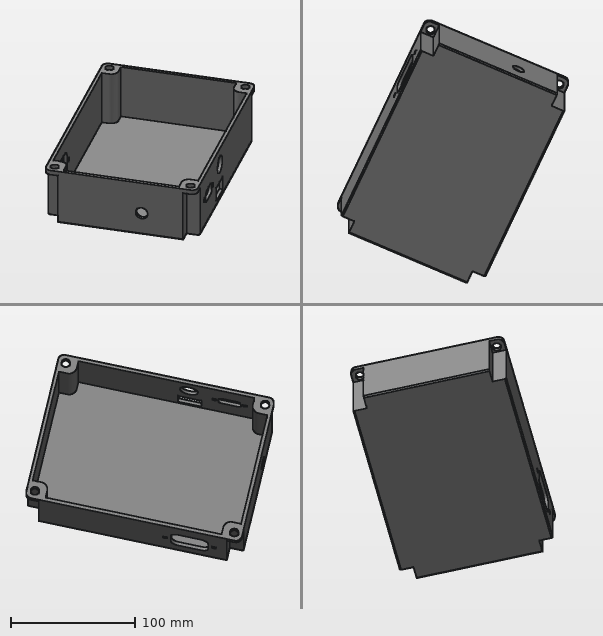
import cadquery as cq
width = 127.0
length = 177.8
height = 47.8
wall = 3.0
floor_thickness = 2.0
rim_corner_radius = 5.0
bottom_chamfer = 1.2

notch_size = 11.4
tab_thickness = 4.0
post_x = 15.3
post_y = 16.4
post_radius = 6.2
tab_hole_diameter = 7.0
tab_hole_inset = 6.8

inlet_y = -46.8
inlet_z = 23.0
inlet_width = 30.5
inlet_height = 23.0
inlet_radius = 6.0
inlet_screw_spacing = 40.2
screw_diameter = 3.5

connector_y = -52.1
connector_z = 25.8
connector_bottom_width = 20.0
connector_top_width = 16.7
connector_height = 9.8
connector_radius = 2.8
connector_screw_spacing = 25.0
round_hole_y = -18.5
round_hole_z = 33.0
round_hole_diameter = 14.8
window_y = -19.0
window_z = 10.8
window_width = 19.4
window_height = 12.1

cable_x = 17.8
cable_z = 20.0
cable_diameter = 10.0

corners = [(sx, sy) for sx in (-1, 1) for sy in (-1, 1)]
cut_depth = 2 * wall


def corner_block(sx, sy, size_x, size_y, bottom, top):
    """Block filling one corner of the box's outline between two heights."""
    center_x = sx * (width - size_x) / 2
    center_y = sy * (length - size_y) / 2
    block = cq.Workplane("XY", origin=(center_x, center_y, bottom))
    return block.rect(size_x, size_y).extrude(top - bottom)


def inner_edge(sx, sy):
    """Selector for the upright block edge nearest the middle of the box."""
    return "|Z and " + ("<X" if sx > 0 else ">X") + " and " + ("<Y" if sy > 0 else ">Y")


def make_outside():
    """Solid body with notched corners and chamfered bottom edges, capped by a rounded plate."""
    body_height = height - tab_thickness
    body = cq.Workplane("XY").box(width, length, body_height, centered=(True, True, False))
    for sx, sy in corners:
        body = body.cut(corner_block(sx, sy, notch_size, notch_size, 0, body_height))
    body = body.faces("<Z").edges("<X or >X or <Y or >Y").chamfer(bottom_chamfer)
    plate = cq.Workplane("XY", origin=(0, 0, body_height))
    plate = plate.rect(width, length).extrude(tab_thickness)
    return body.union(plate.edges("|Z").fillet(rim_corner_radius))


def make_cavity():
    """Inside space of the box, leaving a rounded post in each corner."""
    cavity = cq.Workplane("XY", origin=(0, 0, floor_thickness))
    cavity = cavity.rect(width - 2 * wall, length - 2 * wall).extrude(height)
    for sx, sy in corners:
        post = corner_block(sx, sy, post_x, post_y, 0, 2 * height)
        cavity = cavity.cut(post.edges(inner_edge(sx, sy)).fillet(post_radius))
    return cavity


def drill_tabs(body):
    for sx, sy in corners:
        hole_x = sx * (width / 2 - tab_hole_inset)
        hole_y = sy * (length / 2 - tab_hole_inset)
        hole = cq.Workplane("XY", origin=(hole_x, hole_y, 0))
        body = body.cut(hole.circle(tab_hole_diameter / 2).extrude(height))
    return body


def side_plane(side, y, z):
    """Work plane centered on the outer face of the -X or +X wall; local axes are Y and Z."""
    return cq.Workplane("YZ", origin=(side * width / 2, y, z))


def side_hole(side, y, z, diameter):
    return side_plane(side, y, z).circle(diameter / 2).extrude(-side * cut_depth)


def side_window(side, y, z, size_y, size_z):
    return side_plane(side, y, z).rect(size_y, size_z).extrude(-side * cut_depth)


def cut_screw_pair(body, side, y, z, spacing):
    for direction in (-1, 1):
        body = body.cut(side_hole(side, y + direction * spacing / 2, z, screw_diameter))
    return body


def cut_inlet(body):
    opening = side_window(-1, inlet_y, inlet_z, inlet_width, inlet_height)
    body = body.cut(opening.edges("|X").fillet(inlet_radius))
    return cut_screw_pair(body, -1, inlet_y, inlet_z, inlet_screw_spacing)


def cut_connectors(body):
    half_bottom = connector_bottom_width / 2
    half_top = connector_top_width / 2
    half_height = connector_height / 2
    outline = [
        (-half_bottom, -half_height),
        (half_bottom, -half_height),
        (half_top, half_height),
        (-half_top, half_height),
    ]
    opening = side_plane(1, connector_y, connector_z).polyline(outline).close().extrude(-cut_depth)
    body = body.cut(opening.edges("|X").fillet(connector_radius))
    body = cut_screw_pair(body, 1, connector_y, connector_z, connector_screw_spacing)
    body = body.cut(side_hole(1, round_hole_y, round_hole_z, round_hole_diameter))
    return body.cut(side_window(1, window_y, window_z, window_width, window_height))


def cut_cable_hole(body):
    hole = cq.Workplane("XZ", origin=(cable_x, -length / 2, cable_z))
    return body.cut(hole.circle(cable_diameter / 2).extrude(-cut_depth))


shell = make_outside().cut(make_cavity())
shell = drill_tabs(shell)
shell = cut_inlet(shell)
shell = cut_connectors(shell)
result = cut_cable_hole(shell)